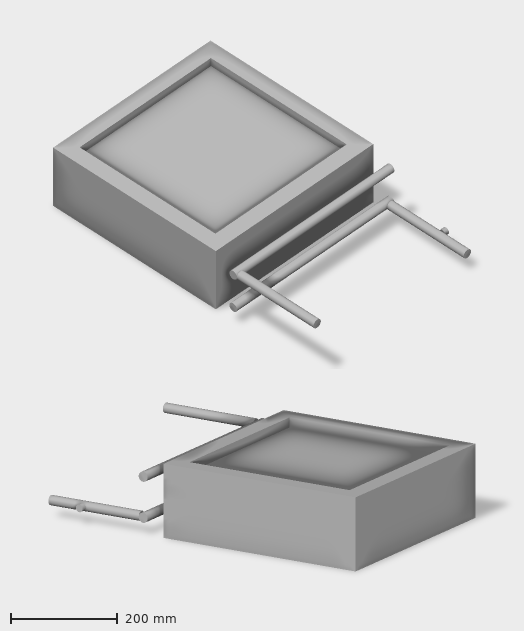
import cadquery as cq

total_length = 680.0
housing_side = 425.0
housing_height = 145.0
rim_width = 35.5
recess_depth = 20.0

rod_diameter = 20.0
rod_radius = rod_diameter / 2
arm_length = 200.0
rod_spacing = 80.0

button_diameter = 15.0
button_length = 10.0
button_end_distance = 75.0

half_side = housing_side / 2
arm_start_x = total_length - arm_length
bar_x = arm_start_x - rod_radius
lower_z = (housing_height - rod_spacing) / 2
upper_z = lower_z + rod_spacing
arm_y = half_side - rod_radius


def make_housing():
    """Square block with a shallow square recess in its top face."""
    block = cq.Workplane("XY").box(
        housing_side, housing_side, housing_height, centered=(False, True, False)
    )
    recess_side = housing_side - 2 * rim_width
    return (
        block.faces(">Z")
        .workplane(centerOption="CenterOfBoundBox")
        .rect(recess_side, recess_side)
        .cutBlind(-recess_depth)
    )


def make_cylinder(diameter, length, start, direction):
    """Round rod from the centre of its start face along a direction."""
    return cq.Solid.makeCylinder(diameter / 2, length, cq.Vector(*start), cq.Vector(*direction))


def make_cross_bar(z):
    """Rod along Y, as long as the housing is wide."""
    return make_cylinder(rod_diameter, housing_side, (bar_x, -half_side, z), (0, 1, 0))


def make_arm(y, z):
    """Rod along X, its flat end butting against the side of a cross bar."""
    return make_cylinder(rod_diameter, arm_length, (arm_start_x, y, z), (1, 0, 0))


def make_button():
    """Short round button standing out in +Y from the lower arm."""
    button_x = total_length - button_end_distance
    return make_cylinder(button_diameter, button_length, (button_x, half_side, lower_z), (0, 1, 0))


housing = make_housing()
cross_bars = [make_cross_bar(z) for z in (lower_z, upper_z)]
arms = [make_arm(y, z) for y, z in ((-arm_y, upper_z), (arm_y, lower_z))]
button = make_button()

result = cq.Compound.makeCompound([housing.val(), *cross_bars, *arms, button])